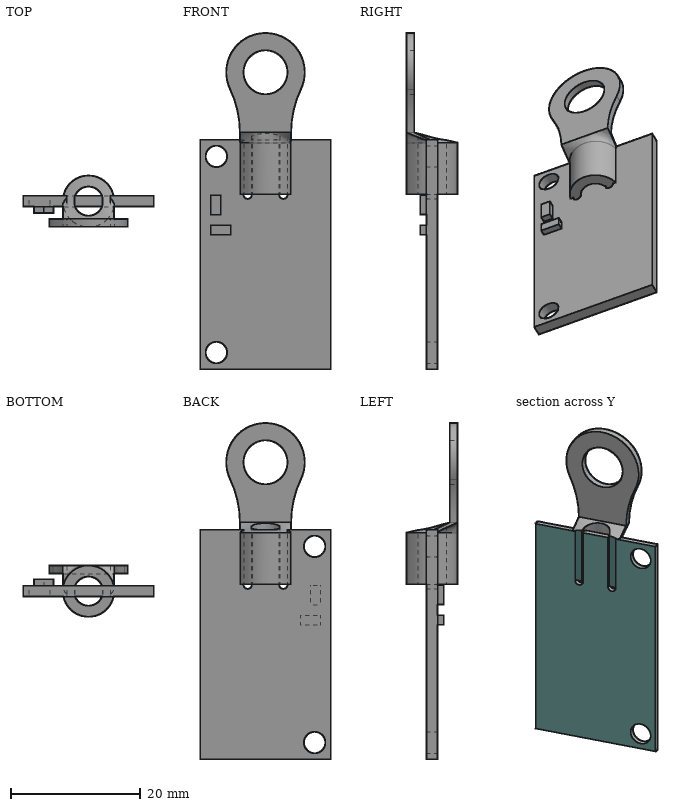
import cadquery as cq
import math

board_width = 20.3
board_height = 35.65
board_thickness = 1.7
mount_hole_diameter = 3.3
mount_hole_x = -7.6
mount_hole_edge_distance = 2.6

slot_width = 1.25
slot_offset = 2.75
slot_bottom = 26.45

chip_length = 3.0
chip_width = 1.5
chip_thickness = 1.0
chip_left = -8.45
upright_chip_bottom = 24.0
flat_chip_bottom = 20.85

total_height = 52.15
barrel_radius = 3.99
bore_radius = 2.25
barrel_bottom = 27.15
barrel_top = 35.15
tongue_bottom = 36.75
tongue_thickness = 1.25
tongue_half_width = barrel_radius
ring_radius = 6.1
ring_hole_radius = 3.4
ring_center = total_height - ring_radius


def box_from_corner(x, y, z, size_x, size_y, size_z):
    return cq.Workplane("XY").box(size_x, size_y, size_z, centered=False).translate((x, y, z))


def make_slot(x):
    """Cutter for one slot, open at the top and round at the bottom."""
    radius = slot_width / 2
    arc_center = slot_bottom + radius
    return (
        cq.Workplane("XZ")
        .moveTo(x - radius, board_height)
        .lineTo(x - radius, arc_center)
        .threePointArc((x, slot_bottom), (x + radius, arc_center))
        .lineTo(x + radius, board_height)
        .close()
        .extrude(board_thickness / 2, both=True)
    )


def make_chip(bottom, size_x, size_z):
    chip_front = -board_thickness / 2 - chip_thickness
    return box_from_corner(chip_left, chip_front, bottom, size_x, chip_thickness, size_z)


def make_board():
    """Board with mounting holes, barrel slots and chips."""
    board = box_from_corner(
        -board_width / 2, -board_thickness / 2, 0, board_width, board_thickness, board_height
    )
    mount_holes = (
        cq.Workplane("XZ")
        .pushPoints([
            (mount_hole_x, mount_hole_edge_distance),
            (mount_hole_x, board_height - mount_hole_edge_distance),
        ])
        .circle(mount_hole_diameter / 2)
        .extrude(board_thickness / 2, both=True)
    )
    board = board.cut(mount_holes)
    for side in (-1, 1):
        board = board.cut(make_slot(side * slot_offset))
    board = board.union(make_chip(upright_chip_bottom, chip_width, chip_length))
    return board.union(make_chip(flat_chip_bottom, chip_length, chip_width))


def make_tongue():
    """Flat ring whose neck flares in arcs tangent to the ring and upright at the base."""
    rise = ring_center - tongue_bottom
    flare_radius = (
        (tongue_half_width**2 + rise**2 - ring_radius**2) / (2 * (ring_radius - tongue_half_width))
    )
    flare_x = tongue_half_width + flare_radius
    flare_angle = math.atan2(rise, flare_x)
    tangent_x = ring_radius * math.cos(flare_angle)
    tangent_z = ring_center - ring_radius * math.sin(flare_angle)
    middle_x = flare_x - flare_radius * math.cos(flare_angle / 2)
    middle_z = tongue_bottom + flare_radius * math.sin(flare_angle / 2)
    return (
        cq.Workplane("XZ", origin=(0, -barrel_radius, 0))
        .moveTo(-tongue_half_width, tongue_bottom)
        .lineTo(tongue_half_width, tongue_bottom)
        .threePointArc((middle_x, middle_z), (tangent_x, tangent_z))
        .threePointArc((0, total_height), (-tangent_x, tangent_z))
        .threePointArc((-middle_x, middle_z), (-tongue_half_width, tongue_bottom))
        .close()
        .moveTo(0, ring_center)
        .circle(ring_hole_radius)
        .extrude(-tongue_thickness)
    )


def make_transition():
    """Blend from the round barrel to the rectangular base of the tongue."""
    tongue_middle_y = -barrel_radius + tongue_thickness / 2
    return (
        cq.Workplane("XY", origin=(0, 0, barrel_top))
        .circle(barrel_radius)
        .workplane(offset=tongue_bottom - barrel_top)
        .center(0, tongue_middle_y)
        .rect(2 * tongue_half_width, tongue_thickness)
        .loft(ruled=True)
    )


def make_terminal(board):
    """Ring terminal, recessed where the board passes through its barrel."""
    barrel = (
        cq.Workplane("XY", origin=(0, 0, barrel_bottom))
        .circle(barrel_radius)
        .extrude(barrel_top - barrel_bottom)
    )
    bore = (
        cq.Workplane("XY", origin=(0, 0, barrel_bottom))
        .circle(bore_radius)
        .extrude(tongue_bottom - barrel_bottom)
    )
    return barrel.union(make_transition()).cut(bore).union(make_tongue()).cut(board)


board = make_board()
terminal = make_terminal(board)

result = cq.Compound.makeCompound([board.solids().val(), terminal.solids().val()])